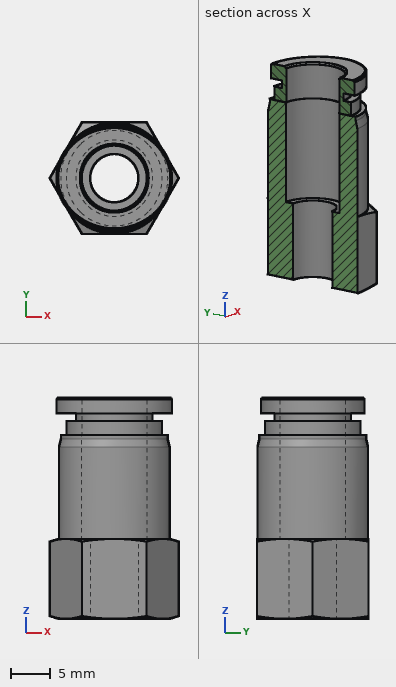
import cadquery as cq
import math

total_height = 27.7

across_corners = 16.18
across_flats = across_corners * math.cos(math.pi / 6)
hex_height = 10.0
hex_corner_bevel = 0.33

barrel_diameter = 13.9
barrel_top = 21.5
collar_diameter = 13.4
collar_bottom = 22.5
collar_top = 23.02

port_diameter = 6.0
tube_seat_diameter = 8.2
tube_seat_floor = hex_height

lip_diameter = 12.0
lip_top = 24.8
neck_diameter = 9.6
neck_fillet = 0.05
button_length = 14.5
button_width = 13.0
button_height = 2.0
button_bottom = total_height - button_height
button_chamfer = 0.22
sleeve_bore = 8.15
bore_chamfer = 0.25


def disc(diameter, bottom, top):
    """Solid cylinder on the Z axis between two heights."""
    return cq.Workplane("XY").workplane(offset=bottom).circle(diameter / 2).extrude(top - bottom)


def turned(profile):
    """Solid turned about the Z axis from a closed (radius, height) profile."""
    return cq.Workplane("XZ").polyline(profile).close().revolve(360, (0, 0, 0), (0, 1, 0))


def hexagon_base():
    """Hexagonal prism with conical crowns at both ends."""
    prism = cq.Workplane("XY").polygon(6, across_corners).extrude(hex_height)
    flat_radius = across_flats / 2
    corner_radius = across_corners / 2
    crowns = turned([
        (0, 0),
        (flat_radius, 0),
        (corner_radius, hex_corner_bevel),
        (corner_radius, hex_height - hex_corner_bevel),
        (flat_radius, hex_height),
        (0, hex_height),
    ])
    return prism.intersect(crowns)


def barrel():
    """Round barrel with a tapered shoulder and a narrow collar on top."""
    return turned([
        (0, hex_height),
        (barrel_diameter / 2, hex_height),
        (barrel_diameter / 2, barrel_top),
        (collar_diameter / 2, collar_bottom),
        (collar_diameter / 2, collar_top),
        (0, collar_top),
    ])


def build_housing():
    """Hexagon and barrel, with a tube seat that narrows to the port."""
    port = disc(port_diameter, 0, tube_seat_floor)
    tube_seat = disc(tube_seat_diameter, tube_seat_floor, collar_top)
    return hexagon_base().union(barrel()).cut(port).cut(tube_seat)


def oval_button():
    """Elliptical push button with a chamfered top rim."""
    button = (
        cq.Workplane("XY")
        .workplane(offset=button_bottom)
        .ellipse(button_length / 2, button_width / 2)
        .extrude(button_height)
    )
    return button.faces(">Z").edges().chamfer(button_chamfer)


def build_sleeve():
    """Round lip, narrower neck and oval button around a chamfered bore."""
    lip = disc(lip_diameter, collar_top, lip_top)
    neck = disc(neck_diameter, lip_top, button_bottom)
    sleeve = lip.union(neck).union(oval_button())
    neck_joint = cq.selectors.BoxSelector(
        (-neck_diameter, -neck_diameter, button_bottom - neck_fillet),
        (neck_diameter, neck_diameter, button_bottom + neck_fillet),
    )
    sleeve = sleeve.edges(neck_joint).edges("%CIRCLE").fillet(neck_fillet)
    sleeve = sleeve.cut(disc(sleeve_bore, collar_top, total_height))
    return sleeve.faces(">Z").edges("%CIRCLE").chamfer(bore_chamfer)


housing = build_housing()
sleeve = build_sleeve()

result = cq.Compound.makeCompound([housing.val(), sleeve.val()])